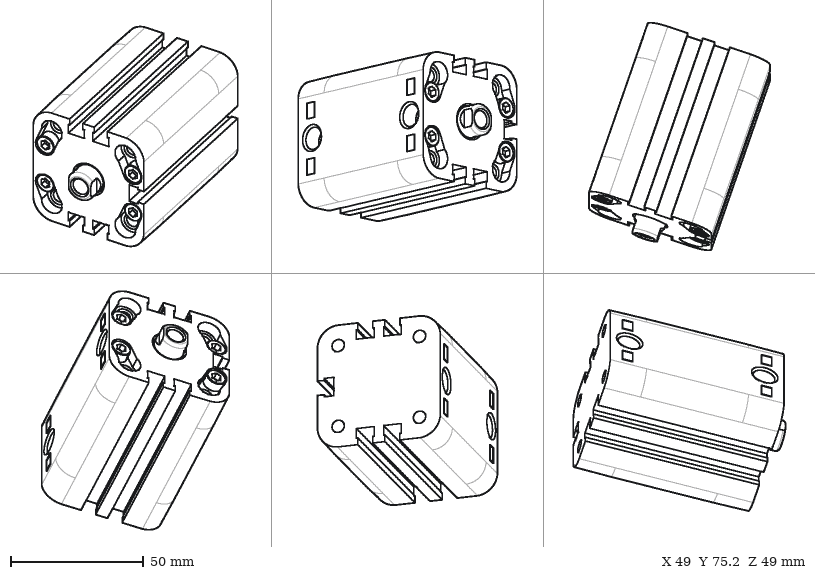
import cadquery as cq
import math


TOTAL_LENGTH = 75.2
ROD_LENGTH = 6.5
BODY_LENGTH = TOTAL_LENGTH - ROD_LENGTH
BODY_WIDTH = 49.0
HALF_WIDTH = BODY_WIDTH / 2
CORNER_RADIUS = 8.0

CAP_LENGTH = 14.2
CAP_CORNER_DRAFT = 0.2

SLOT_MOUTH_WIDTH = 5.95
SLOT_INNER_WIDTH = 7.1
SLOT_LIP = 2.7
SLOT_DEPTH = 6.55
SLOT_OFFSET = 5.4
SIDE_MOUTH_WIDTH = 5.7
SIDE_INNER_WIDTH = 7.4

HOLE_OFFSET = 16.25
HOLE_DIAMETER = 4.9
HOLE_MOUTH_DIAMETER = 6.3
SCREW_X = 19.4
SCREW_Z = 8.65
POCKET_DEPTH = 4.5
HOLE_POCKET_DIAMETER = 9.0
SCREW_POCKET_WIDTH = 8.1
SCREW_HEAD_DIAMETER = 7.5
SCREW_HEAD_CHAMFER = 0.2
SCREW_RECESS = 0.45
HEX_FLATS = 3.6
HEX_DEPTH = 2.6
HEX_TURN = 90.0

PORT_DIAMETER = 8.6
PORT_MOUTH_DIAMETER = 10.4
PORT_DEPTH = 7.5
PORT_FROM_END = 7.7
AIR_HOLE_DIAMETER = 2.5
AIR_HOLE_DEPTH = 3.0
AIR_HOLE_FROM_END = 9.8

LABEL_LENGTH = 4.0
LABEL_HEIGHT = 6.1
LABEL_DEPTH = 0.2
LABEL_FROM_END = 6.9
LABEL_Z = 10.9

ROD_DIAMETER = 12.0
ROD_FILLET = 1.2
BEARING_DIAMETER = 12.5
BEARING_MOUTH_DIAMETER = 13.9
BEARING_CHAMFER = (BEARING_MOUTH_DIAMETER - BEARING_DIAMETER) / 2
FLATS_WIDTH = 9.85
FLATS_LENGTH = 4.35
ROD_BORE_DIAMETER = 6.6
ROD_BORE_MOUTH_DIAMETER = 8.0
ROD_BORE_TIP_DIAMETER = 1.5
ROD_BORE_DEPTH = 12.0
DRILL_ANGLE = 118.0


def cylinder_y(diameter, start, length, x=0.0, z=0.0):
    """Cylinder along +Y, starting at y = start."""
    base = cq.Vector(x, start, z)
    return cq.Workplane(cq.Solid.makeCylinder(diameter / 2, length, base, cq.Vector(0, 1, 0)))


def cone(mouth_diameter, end_diameter, length, origin, direction):
    """Cone frustum that starts at origin with mouth_diameter."""
    base, axis = cq.Vector(*origin), cq.Vector(*direction)
    return cq.Workplane(cq.Solid.makeCone(mouth_diameter / 2, end_diameter / 2, length, base, axis))


def box_between(x_range, y_range, z_range):
    """Box given by its low and high limits along each axis."""
    low, high = zip(x_range, y_range, z_range)
    size = [b - a for a, b in zip(low, high)]
    return cq.Workplane("XY").box(*size, centered=False).translate(low)


def sensor_slot(offset, mouth_width, inner_width):
    """Full-length slot cut into the +Z side, centred at x = offset."""
    length = (0, BODY_LENGTH)
    half_mouth = mouth_width / 2
    half_inner = inner_width / 2
    mouth = box_between(
        (offset - half_mouth, offset + half_mouth),
        length,
        (HALF_WIDTH - SLOT_DEPTH, HALF_WIDTH),
    )
    inner = box_between(
        (offset - half_inner, offset + half_inner),
        length,
        (HALF_WIDTH - SLOT_DEPTH, HALF_WIDTH - SLOT_LIP),
    )
    return mouth.union(inner)


def profile(y, corner_inset):
    """Square outline in the plane at y.

    The middle of each corner arc lies corner_inset inside that of a tangent quarter circle.
    """
    flat_end = HALF_WIDTH - CORNER_RADIUS
    arc_middle = flat_end + (CORNER_RADIUS - corner_inset) * math.sqrt(0.5)
    outline = cq.Workplane("XZ", origin=(0, y, 0)).moveTo(-flat_end, HALF_WIDTH)
    for x_sign, z_sign in ((1, 1), (1, -1), (-1, -1), (-1, 1)):
        on_z_side = (x_sign * flat_end, z_sign * HALF_WIDTH)
        on_x_side = (x_sign * HALF_WIDTH, z_sign * flat_end)
        start, end = (on_z_side, on_x_side) if x_sign == z_sign else (on_x_side, on_z_side)
        outline = outline.lineTo(*start).threePointArc((x_sign * arc_middle, z_sign * arc_middle), end)
    return outline.close()


def body():
    """Solid square section between two drafted end caps, with five sensor slots."""
    seam = profile(CAP_LENGTH, 0)
    end_face = profile(0, CAP_CORNER_DRAFT)
    front_cap = cq.Workplane(cq.Solid.makeLoft([end_face.wire().val(), seam.wire().val()], True))
    rear_cap = front_cap.mirror("XZ").translate((0, BODY_LENGTH, 0))
    block = seam.extrude(2 * CAP_LENGTH - BODY_LENGTH).union(front_cap).union(rear_cap)
    for offset in (-SLOT_OFFSET, SLOT_OFFSET):
        slot = sensor_slot(offset, SLOT_MOUTH_WIDTH, SLOT_INNER_WIDTH)
        block = block.cut(slot).cut(slot.mirror("XY"))
    side_slot = sensor_slot(0, SIDE_MOUTH_WIDTH, SIDE_INNER_WIDTH)
    return block.cut(side_slot.rotate((0, 0, 0), (0, 1, 0), 90))


def corner_cut(x_sign, z_sign):
    """Through hole, chamfer and pocket of one corner, with the screw head left standing in the pocket."""
    hole_x, hole_z = x_sign * HOLE_OFFSET, z_sign * HOLE_OFFSET
    screw_x, screw_z = x_sign * SCREW_X, z_sign * SCREW_Z
    run_x, run_z = hole_x - screw_x, hole_z - screw_z
    slot_length = math.hypot(run_x, run_z) + SCREW_POCKET_WIDTH
    slot_angle = math.degrees(math.atan2(run_z, run_x))

    slot = (
        cq.Workplane("XZ")
        .center((hole_x + screw_x) / 2, (hole_z + screw_z) / 2)
        .slot2D(slot_length, SCREW_POCKET_WIDTH, slot_angle)
        .extrude(-POCKET_DEPTH)
    )
    pocket = slot.union(cylinder_y(HOLE_POCKET_DIAMETER, 0, POCKET_DEPTH, hole_x, hole_z))
    head = cylinder_y(SCREW_HEAD_DIAMETER, SCREW_RECESS, POCKET_DEPTH - SCREW_RECESS, screw_x, screw_z)
    head = head.faces("<Y").edges().chamfer(SCREW_HEAD_CHAMFER)
    hexagon = (
        cq.Workplane("XZ", origin=(screw_x, SCREW_RECESS, screw_z))
        .polygon(6, HEX_FLATS / math.cos(math.pi / 6))
        .extrude(-HEX_DEPTH)
        .rotate((screw_x, 0, screw_z), (screw_x, 1, screw_z), HEX_TURN)
    )
    hole = cylinder_y(HOLE_DIAMETER, 0, BODY_LENGTH, hole_x, hole_z)
    chamfer = cone(
        HOLE_MOUTH_DIAMETER,
        HOLE_DIAMETER,
        (HOLE_MOUTH_DIAMETER - HOLE_DIAMETER) / 2,
        (hole_x, POCKET_DEPTH, hole_z),
        (0, 1, 0),
    )
    return pocket.cut(head).union(hexagon).union(hole).union(chamfer)


def port_cylinder(diameter, depth, from_end):
    """Cylinder into the -X side at the given distance from the front face."""
    start = cq.Vector(-HALF_WIDTH, from_end, 0)
    return cq.Workplane(cq.Solid.makeCylinder(diameter / 2, depth, start, cq.Vector(1, 0, 0)))


def port_cut():
    """Port with its chamfer, air hole and two label recesses near the front end."""
    cut = port_cylinder(PORT_DIAMETER, PORT_DEPTH, PORT_FROM_END)
    cut = cut.union(port_cylinder(AIR_HOLE_DIAMETER, PORT_DEPTH + AIR_HOLE_DEPTH, AIR_HOLE_FROM_END))
    chamfer_depth = (PORT_MOUTH_DIAMETER - PORT_DIAMETER) / 2
    cut = cut.union(
        cone(PORT_MOUTH_DIAMETER, PORT_DIAMETER, chamfer_depth, (-HALF_WIDTH, PORT_FROM_END, 0), (1, 0, 0))
    )
    for z in (-LABEL_Z, LABEL_Z):
        label = cq.Workplane("XY").box(2 * LABEL_DEPTH, LABEL_LENGTH, LABEL_HEIGHT)
        cut = cut.union(label.translate((-HALF_WIDTH, LABEL_FROM_END, z)))
    return cut


def bearing_recess():
    """Chamfered mouth of the rod bearing in the front face."""
    return cone(BEARING_MOUTH_DIAMETER, BEARING_DIAMETER, BEARING_CHAMFER, (0, 0, 0), (0, 1, 0))


def rod():
    """Rod end with wrench flats and a rounded rim, rooted in the floor of the bearing recess."""
    end = -ROD_LENGTH
    bar = cylinder_y(ROD_DIAMETER, end, ROD_LENGTH + BEARING_CHAMFER).faces("<Y").edges().fillet(ROD_FILLET)

    half_flats = FLATS_WIDTH / 2
    radius = ROD_DIAMETER / 2
    flat_end = end + FLATS_LENGTH
    flat = (
        cq.Workplane("XY")
        .polyline(
            [
                (half_flats, end),
                (half_flats, flat_end),
                (radius, flat_end + radius - half_flats),
                (radius, end),
            ]
        )
        .close()
        .extrude(radius, both=True)
    )
    return bar.cut(flat).cut(flat.mirror("YZ"))


def rod_bore():
    """Chamfered blind bore in the rod end with a blunted drill point."""
    end = -ROD_LENGTH
    mouth_radius = ROD_BORE_MOUTH_DIAMETER / 2
    radius = ROD_BORE_DIAMETER / 2
    tip_radius = ROD_BORE_TIP_DIAMETER / 2
    floor = end + ROD_BORE_DEPTH
    point_length = (radius - tip_radius) / math.tan(math.radians(DRILL_ANGLE / 2))
    return (
        cq.Workplane("XY")
        .polyline(
            [
                (0, end),
                (mouth_radius, end),
                (radius, end + mouth_radius - radius),
                (radius, floor),
                (tip_radius, floor + point_length),
                (0, floor + point_length),
            ]
        )
        .close()
        .revolve(360, (0, 0, 0), (0, 1, 0))
    )


result = body()
for x_sign in (-1, 1):
    for z_sign in (-1, 1):
        result = result.cut(corner_cut(x_sign, z_sign))

front_port = port_cut()
rear_port = front_port.mirror("XZ").translate((0, BODY_LENGTH, 0))
result = result.cut(front_port).cut(rear_port)

result = result.cut(bearing_recess()).union(rod()).cut(rod_bore())